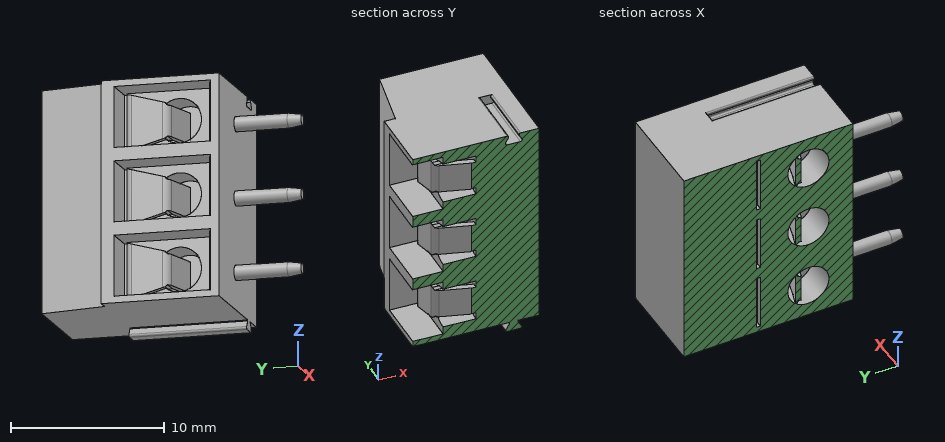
import cadquery as cq
import math


POLES = 3
PITCH = 5.0
WIDTH = 9.0
BODY_DEPTH = 12.5
BLOCK_DEPTH = 7.99
STEP_INSET = 0.8
REAR_INSET = 1.6
BODY_HEIGHT = POLES * PITCH

POCKET_FRONT = 0.56
POCKET_LENGTH = 6.56
POCKET_HEIGHT = 4.1
POCKET_FLOOR = 2.16
LEAD_IN_WIDTH = 0.3
LEAD_IN_DEPTH = 0.8
SLOT_DEPTH = 0.4

HOLE_RADIUS = 1.5
HOLE_Y = 3.3
HOLE_BOTTOM = WIDTH / 2

LEAF_THICKNESS = 0.4
LEAF_BEND_RADIUS = 0.51
LEAF_BEND_ANGLE = math.radians(75)
LEAF_BEND_Y = 4.34
LEAF_REAR_Y = 6.85
LEAF_REAR_WIDTH = 3.88
LEAF_NECK_WIDTH = 2.4
LEAF_NECK_Y = 4.16
TAB_WIDTH = 2.09
TAB_START_Y = LEAF_NECK_Y - (LEAF_NECK_WIDTH - TAB_WIDTH) / 2

PIN_X = 4.08
PIN_DIAMETER = 1.0
PIN_TIP_DIAMETER = 0.73
PIN_LENGTH = 4.5
PIN_TIP_LENGTH = 0.9

DOVETAIL_X = WIDTH - 1.8
DOVETAIL_BASE_WIDTH = 1.36
DOVETAIL_ROUND = 0.12
TONGUE_NECK_WIDTH = 0.63
TONGUE_NECK_LENGTH = 0.07
TONGUE_HEIGHT = 0.68
GROOVE_NECK_WIDTH = 0.75
GROOVE_NECK_LENGTH = 0.2
GROOVE_DEPTH = 0.7
GROOVE_LIP_ROUND = 0.1


def make_housing():
    outline = [
        (0, 0),
        (WIDTH, 0),
        (WIDTH, BODY_DEPTH),
        (REAR_INSET, BODY_DEPTH),
        (STEP_INSET, BLOCK_DEPTH),
        (0, BLOCK_DEPTH),
    ]
    return cq.Workplane("XY").polyline(outline).close().extrude(BODY_HEIGHT)


def make_dovetail(top_z, neck_width, neck_length, height):
    """Dovetail bar along Y that hangs down from top_z and widens to rounded corners."""
    neck = neck_width / 2
    base = DOVETAIL_BASE_WIDTH / 2
    profile = [
        (-neck, 0),
        (neck, 0),
        (neck, -neck_length),
        (base, -height),
        (-base, -height),
        (-neck, -neck_length),
    ]
    bar = (
        cq.Workplane("XZ", origin=(DOVETAIL_X, 0, top_z))
        .polyline(profile)
        .close()
        .extrude(-BLOCK_DEPTH)
    )
    return bar.faces("<Z").edges("|Y").fillet(DOVETAIL_ROUND)


def make_groove_lips():
    """Material that the rounded upper lips of the groove remove."""
    neck = GROOVE_NECK_WIDTH / 2
    mouth = neck + GROOVE_LIP_ROUND
    mid = GROOVE_LIP_ROUND * (1 - math.sqrt(0.5))
    return (
        cq.Workplane("XZ", origin=(DOVETAIL_X, 0, BODY_HEIGHT))
        .moveTo(-mouth, 0)
        .lineTo(mouth, 0)
        .threePointArc((neck + mid, -mid), (neck, -GROOVE_LIP_ROUND))
        .lineTo(-neck, -GROOVE_LIP_ROUND)
        .threePointArc((-neck - mid, -mid), (-mouth, 0))
        .close()
        .extrude(-BLOCK_DEPTH)
    )


def make_pocket(center_z):
    """Wire-entry pocket with a lead-in slope on its front wall and a slot at the rear, plus the wire hole."""
    rear = POCKET_FRONT + POCKET_LENGTH
    inner_front = POCKET_FRONT + LEAD_IN_WIDTH
    outline = [
        (0, POCKET_FRONT),
        (LEAD_IN_DEPTH, inner_front),
        (POCKET_FLOOR, inner_front),
        (POCKET_FLOOR, LEAF_REAR_Y),
        (POCKET_FLOOR + SLOT_DEPTH, LEAF_REAR_Y),
        (POCKET_FLOOR + SLOT_DEPTH, rear),
        (0, rear),
    ]
    pocket = (
        cq.Workplane("XY", origin=(0, 0, center_z - POCKET_HEIGHT / 2))
        .polyline(outline)
        .close()
        .extrude(POCKET_HEIGHT)
    )
    hole = (
        cq.Workplane("YZ", origin=(POCKET_FLOOR, HOLE_Y, center_z))
        .circle(HOLE_RADIUS)
        .extrude(HOLE_BOTTOM - POCKET_FLOOR)
    )
    return pocket.union(hole)


def make_leaf(center_z):
    """Leaf lying on the pocket floor: rounded at the rear, bent into the hole at the front."""
    inner_radius = LEAF_BEND_RADIUS - LEAF_THICKNESS
    front_x = POCKET_FLOOR - LEAF_THICKNESS
    bend_x = front_x + LEAF_BEND_RADIUS
    flat_end_y = LEAF_REAR_Y - LEAF_THICKNESS
    diagonal = math.sqrt(0.5) * LEAF_THICKNESS

    def on_bend(radius, angle):
        return (bend_x - radius * math.cos(angle), LEAF_BEND_Y - radius * math.sin(angle))

    def at_hole_bottom(start):
        x, y = start
        return (HOLE_BOTTOM, y - (HOLE_BOTTOM - x) / math.tan(LEAF_BEND_ANGLE))

    outer_end = on_bend(LEAF_BEND_RADIUS, LEAF_BEND_ANGLE)
    inner_end = on_bend(inner_radius, LEAF_BEND_ANGLE)
    strip = (
        cq.Workplane("XY", origin=(0, 0, center_z - LEAF_REAR_WIDTH / 2))
        .moveTo(POCKET_FLOOR, LEAF_REAR_Y)
        .threePointArc((POCKET_FLOOR - diagonal, flat_end_y + diagonal), (front_x, flat_end_y))
        .lineTo(front_x, LEAF_BEND_Y)
        .threePointArc(on_bend(LEAF_BEND_RADIUS, LEAF_BEND_ANGLE / 2), outer_end)
        .lineTo(*at_hole_bottom(outer_end))
        .lineTo(*at_hole_bottom(inner_end))
        .lineTo(*inner_end)
        .threePointArc(on_bend(inner_radius, LEAF_BEND_ANGLE / 2), (POCKET_FLOOR, LEAF_BEND_Y))
        .close()
        .extrude(LEAF_REAR_WIDTH)
    )

    half_outline = [
        (LEAF_REAR_Y, LEAF_REAR_WIDTH / 2),
        (LEAF_NECK_Y, LEAF_NECK_WIDTH / 2),
        (TAB_START_Y, TAB_WIDTH / 2),
        (0, TAB_WIDTH / 2),
    ]
    mirrored_outline = [(y, -z) for y, z in reversed(half_outline)]
    blank = (
        cq.Workplane("YZ", origin=(0, 0, center_z))
        .polyline(half_outline + mirrored_outline)
        .close()
        .extrude(HOLE_BOTTOM)
    )
    return strip.intersect(blank)


def make_pin(center_z):
    """Round solder pin along -Y with a tapered tip."""
    shaft_length = PIN_LENGTH - PIN_TIP_LENGTH
    profile = [
        (0, 0),
        (PIN_DIAMETER / 2, 0),
        (PIN_DIAMETER / 2, -shaft_length),
        (PIN_TIP_DIAMETER / 2, -PIN_LENGTH),
        (0, -PIN_LENGTH),
    ]
    return (
        cq.Workplane("XY", origin=(PIN_X, 0, center_z))
        .polyline(profile)
        .close()
        .revolve(360, (0, 0, 0), (0, 1, 0))
    )


tongue = make_dovetail(0, TONGUE_NECK_WIDTH, TONGUE_NECK_LENGTH, TONGUE_HEIGHT)
groove = make_dovetail(BODY_HEIGHT, GROOVE_NECK_WIDTH, GROOVE_NECK_LENGTH, GROOVE_DEPTH)
result = make_housing().union(tongue).cut(groove).cut(make_groove_lips())

for pole in range(POLES):
    pole_z = (pole + 0.5) * PITCH
    result = result.cut(make_pocket(pole_z))
    result = result.union(make_leaf(pole_z)).union(make_pin(pole_z))